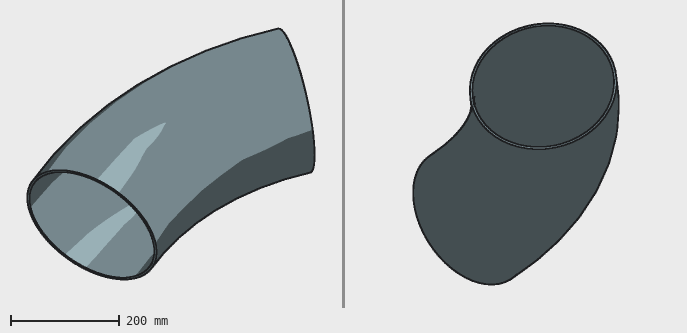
import cadquery as cq
import math

overall_length = 538.5
outer_diameter = 273.0
wall_thickness = 5.0
bend_angle = 45.0

outer_radius = outer_diameter / 2
inner_radius = outer_radius - wall_thickness
outside_bend_radius = overall_length / math.sin(math.radians(bend_angle))
bend_radius = outside_bend_radius - outer_radius

result = (
    cq.Workplane("XZ")
    .circle(outer_radius)
    .circle(inner_radius)
    .revolve(bend_angle, (bend_radius, 5.5, 0), (bend_radius, 0, 0))
)